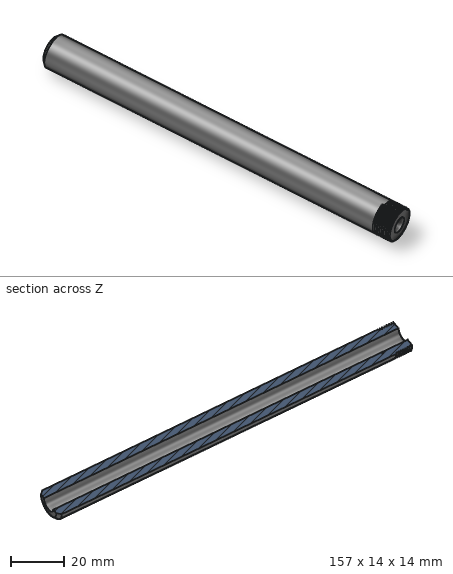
import cadquery as cq

length = 157.0
outer_diameter = 14.0
bore_diameter = 6.5
end_chamfer = 1.49

thread_length = 7.7
thread_pitch = 1.0
groove_depth = 0.61
groove_width = 0.88
cutter_clearance = 0.05
runout_turns = 0.8
seam_angle = 50

outer_radius = outer_diameter / 2
thread_start = length - thread_length


def make_tube():
    """Tube along X, chamfered around its outer edge at the X = 0 end."""
    rod = cq.Workplane("YZ").circle(outer_radius).extrude(length)
    rod = rod.faces("<X").chamfer(end_chamfer)
    bore = cq.Workplane("YZ").circle(bore_diameter / 2).extrude(length)
    return rod.cut(bore).rotate((0, 0, 0), (1, 0, 0), seam_angle)


def make_thread_cutter():
    """Right-handed helical V cutter that starts at the top (+Z) of the rod."""
    helix_height = thread_length + runout_turns * thread_pitch
    helix = cq.Wire.makeHelix(thread_pitch, helix_height, outer_radius)
    root_radius = outer_radius - groove_depth
    crest_radius = outer_radius + cutter_clearance
    half_width = groove_width / 2 * (crest_radius - root_radius) / groove_depth
    profile = cq.Workplane("XZ").polyline([
        (crest_radius, -half_width),
        (root_radius, 0),
        (crest_radius, half_width),
    ]).close()
    cutter = profile.sweep(cq.Workplane(obj=helix), isFrenet=True)
    cutter = cutter.rotate((0, 0, 0), (0, 1, 0), 90)
    cutter = cutter.rotate((0, 0, 0), (1, 0, 0), 180)
    return cutter.translate((thread_start + groove_width / 2, 0, 0))


result = make_tube().cut(make_thread_cutter())